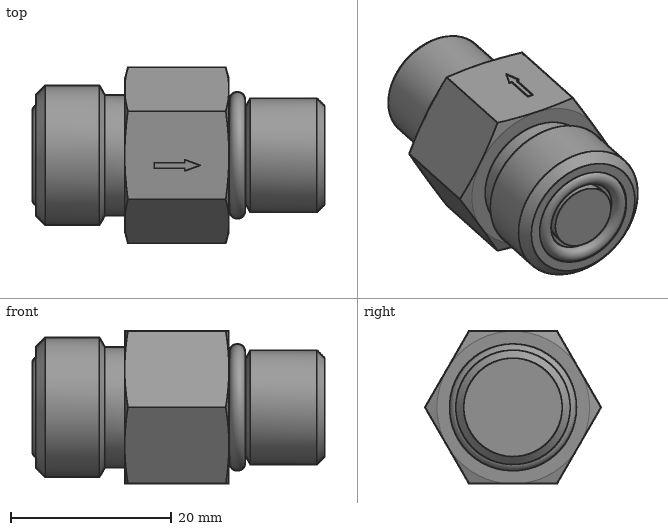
import cadquery as cq
import math

hex_across_flats = 19.05
hex_across_corners = hex_across_flats / math.cos(math.radians(30))
hex_length = 13.0
hex_chamfer_angle = 15.0

port_diameter = 17.45
port_root_diameter = 15.11
port_thread_end = 8.62
port_length = 11.1

stud_diameter = 14.28
stud_root_diameter = 12.29
neck_length = 2.1
body_length = 36.07

thread_back_angle = 30.0

face_groove_outer_diameter = 12.68
face_groove_inner_diameter = 8.1
face_ring_section = 1.77
face_ring_projection = 0.46
face_groove_depth = face_ring_section - face_ring_projection

neck_ring_inner_diameter = 11.89
neck_ring_section = 1.98

arrow_tail_x = 14.75
arrow_center_y = -1.25
arrow_shaft_length = 3.85
arrow_shaft_width = 0.7
arrow_head_length = 1.9
arrow_head_width = 2 * arrow_shaft_width
arrow_depth = 0.1

hex_start = port_length
hex_end = hex_start + hex_length
stud_thread_start = hex_end + neck_length


def turned_solid(points):
    """Revolve a closed outline of (X, radius) points about the X axis."""
    return cq.Workplane("XY").polyline(points).close().revolve(360, (0, 0, 0), (1, 0, 0))


def ring(center_x, center_radius, section):
    """O-ring around the X axis."""
    profile = cq.Workplane("XY").center(center_x, center_radius).circle(section / 2)
    return profile.revolve(360, (0, -center_radius, 0), (1, -center_radius, 0))


def make_port_end():
    radius = port_diameter / 2
    root = port_root_diameter / 2
    step = radius - root
    back = step * math.tan(math.radians(thread_back_angle))
    return turned_solid([
        (0, 0),
        (0, root),
        (step, radius),
        (port_thread_end - back, radius),
        (port_thread_end, root),
        (hex_start, root),
        (hex_start, 0),
    ])


def make_stud_end():
    radius = stud_diameter / 2
    root = stud_root_diameter / 2
    step = radius - root
    back = step * math.tan(math.radians(thread_back_angle))
    return turned_solid([
        (hex_end, 0),
        (hex_end, root),
        (stud_thread_start, root),
        (stud_thread_start + back, radius),
        (body_length - step, radius),
        (body_length, root),
        (body_length, 0),
    ])


def make_hexagon():
    """Hexagon with corners on the Y axis and both ends chamfered down to the flats."""
    prism = (
        cq.Workplane("YZ", origin=(hex_start, 0, 0))
        .polygon(6, hex_across_corners)
        .extrude(hex_length)
    )
    flat = hex_across_flats / 2
    corner = hex_across_corners / 2
    chamfer_length = (corner - flat) * math.tan(math.radians(hex_chamfer_angle))
    envelope = turned_solid([
        (hex_start, 0),
        (hex_start, flat),
        (hex_start + chamfer_length, corner),
        (hex_end - chamfer_length, corner),
        (hex_end, flat),
        (hex_end, 0),
    ])
    return prism.intersect(envelope)


def make_face_groove():
    return (
        cq.Workplane("YZ")
        .circle(face_groove_outer_diameter / 2)
        .circle(face_groove_inner_diameter / 2)
        .extrude(face_groove_depth)
    )


def make_arrow():
    shaft = arrow_shaft_width / 2
    head = arrow_head_width / 2
    return (
        cq.Workplane("XY", origin=(arrow_tail_x, arrow_center_y, hex_across_flats / 2))
        .moveTo(0, -shaft)
        .lineTo(arrow_shaft_length, -shaft)
        .lineTo(arrow_shaft_length, -head)
        .lineTo(arrow_shaft_length + arrow_head_length, 0)
        .lineTo(arrow_shaft_length, head)
        .lineTo(arrow_shaft_length, shaft)
        .lineTo(0, shaft)
        .close()
        .extrude(-arrow_depth)
    )


face_ring = ring(
    face_groove_depth - face_ring_section / 2,
    (face_groove_outer_diameter - face_ring_section) / 2,
    face_ring_section,
)

neck_ring = ring(
    hex_end + neck_length / 2,
    (neck_ring_inner_diameter + neck_ring_section) / 2,
    neck_ring_section,
)

housing = (
    make_port_end()
    .union(make_hexagon())
    .union(make_stud_end())
    .cut(make_face_groove())
    .cut(make_arrow())
    .cut(neck_ring)
)

result = cq.Compound.makeCompound([housing.val(), face_ring.val(), neck_ring.val()])